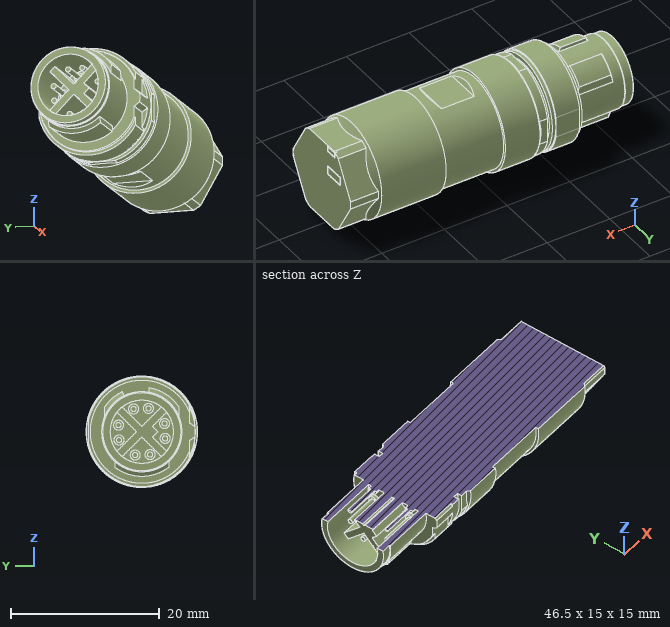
import cadquery as cq
import math


NOSE_STEP_X = 1.4
RING_START_X = 9.28
RING_RAISED_START_X = 9.85
RING_POCKET_END_X = 12.8
RING_RAISED_END_X = 13.65
RING_END_X = 14.2
COLLAR_START_X = 14.9
BODY_START_X = 16.38
SLEEVE_START_X = 21.9
NUT_START_X = 31.36
NUT_CONE_X = 41.65
NUT_END_X = 46.41
TOTAL_LENGTH = 46.48

BODY_R = 7.5
SLEEVE_R = 7.07
NOSE_TIP_R = 5.25
NOSE_R = 5.4
RING_LIP_R = 6.93
RING_CORE_R = 7.2
RING_RAISED_R = 7.38
NECK_R = 6.44
COLLAR_R = 7.32
BODY_CONE_R = 7.0
BORE_R = 4.25

PAD_R = 6.0
PAD_ROOT_R = 5.2
FRONT_PAD_BASE_X = (3.3, 7.95)
FRONT_PAD_TOP_X = (3.6, 7.7)
FRONT_PAD_MIN_Y = -4.97
FRONT_PAD_MAX_Y = -0.95
REAR_PAD_BASE_X = (3.15, 8.85)
REAR_PAD_TOP_X = (3.4, 8.5)
REAR_PAD_MAX_Y = 5.0
REAR_PAD_SIDE_ANGLE = 26.0
BOTTOM_PAD_BASE_X = (2.66, 8.35)
BOTTOM_PAD_TOP_X = (2.98, 8.2)
BOTTOM_PAD_HALF_WIDTH = 3.63

POCKET_FLOOR_Y = 6.4
POCKET_HALF_WIDTH = 3.75
KEY_BASE_HALF_WIDTH = 1.2
KEY_TOP_HALF_WIDTH = 0.65

COLLAR_FLAT_DISTANCE = 7.07
SLEEVE_FLAT_DISTANCE = 6.51
SLEEVE_FLAT_START_X = 23.87
SLEEVE_FLAT_END_X = 29.05

HEX_ACROSS_FLATS = 13.0
HEX_CORNER_R = 7.19

MARK_Y_MIN = 1.5
MARKS = [(3.3, 5.6, 6.4), (4.6, 1.8, 3.1)]

BORE_DEPTH = 9.0
SHIELD_FRONT_X = 2.5
SHIELD_THICKNESS = 1.0
SHIELD_KEY_REACH = 1.53
PIN_FRONT_X = 3.5
PIN_R = 0.35
PIN_COLLAR_R = 0.67
PIN_COLLAR_HEIGHT = 0.5
PIN_RADIAL = 3.1
PIN_HALF_SPACING = 1.0
PIN_PATTERN_TURN = 2.0

OVERLAP = 0.3
CLEARANCE = 2.0


def box_between(x_range, y_range, z_range):
    """Box spanning the given (min, max) ranges."""
    sizes = [high - low for low, high in (x_range, y_range, z_range)]
    corner = (x_range[0], y_range[0], z_range[0])
    return cq.Workplane("XY").box(*sizes, centered=False).translate(corner)


def cylinder(x_start, x_end, radius):
    """Solid cylinder on the X axis."""
    return cq.Workplane("YZ").workplane(offset=x_start).circle(radius).extrude(x_end - x_start)


def revolved(points):
    """Revolve an (x, radius) outline around the X axis."""
    outline = cq.Workplane("XY").polyline(points).close()
    return outline.revolve(360, (0, 0, 0), (1, 0, 0))


def turn(solid, angle):
    """Rotate a solid about the connector axis."""
    return solid.rotate((0, 0, 0), (1, 0, 0), angle)


def mating_plane(x):
    """Plane facing the mating end: local x is -Y, local y is +Z."""
    return cq.Workplane(cq.Plane(origin=(x, 0, 0), xDir=(0, -1, 0), normal=(-1, 0, 0)))


def nose():
    """Mating sleeve with a slightly smaller tip."""
    tip = cylinder(0, NOSE_STEP_X, NOSE_TIP_R)
    return tip.union(cylinder(NOSE_STEP_X, RING_START_X + OVERLAP, NOSE_R))


def locking_pad(base_x, top_x, clip_outline):
    """Raised arc-shaped pad with sloped ends, kept only inside a (Y, Z) outline."""
    rim = revolved([
        (base_x[0], PAD_ROOT_R),
        (base_x[0], NOSE_R),
        (top_x[0], PAD_R),
        (top_x[1], PAD_R),
        (base_x[1], NOSE_R),
        (base_x[1], PAD_ROOT_R),
    ])
    clip = cq.Workplane("YZ").polyline(clip_outline).close().extrude(RING_START_X)
    return rim.intersect(clip)


def locking_pads():
    """Two pads on the upper half of the nose and one wider pad underneath."""
    rear_side_y = BODY_R * math.tan(math.radians(REAR_PAD_SIDE_ANGLE))
    front_clip = [
        (FRONT_PAD_MIN_Y, 0),
        (FRONT_PAD_MAX_Y, 0),
        (FRONT_PAD_MAX_Y, BODY_R),
        (FRONT_PAD_MIN_Y, BODY_R),
    ]
    rear_clip = [
        (0, 0),
        (REAR_PAD_MAX_Y, 0),
        (REAR_PAD_MAX_Y, BODY_R),
        (rear_side_y, BODY_R),
    ]
    bottom_clip = [
        (-BOTTOM_PAD_HALF_WIDTH, 0),
        (BOTTOM_PAD_HALF_WIDTH, 0),
        (BOTTOM_PAD_HALF_WIDTH, -BODY_R),
        (-BOTTOM_PAD_HALF_WIDTH, -BODY_R),
    ]
    front_pad = locking_pad(FRONT_PAD_BASE_X, FRONT_PAD_TOP_X, front_clip)
    rear_pad = locking_pad(REAR_PAD_BASE_X, REAR_PAD_TOP_X, rear_clip)
    bottom_pad = locking_pad(BOTTOM_PAD_BASE_X, BOTTOM_PAD_TOP_X, bottom_clip)
    return front_pad.union(rear_pad).union(bottom_pad)


def ring_pocket(x_end):
    """Cutter for the -Y side of the ring, from its front face to x_end."""
    return box_between(
        (RING_START_X, x_end),
        (-POCKET_FLOOR_Y - CLEARANCE, -POCKET_FLOOR_Y),
        (-POCKET_HALF_WIDTH, POCKET_HALF_WIDTH),
    )


def ring_key():
    """Key with sloped sides, standing on the pocket floor."""
    key_root_y = -POCKET_FLOOR_Y + OVERLAP
    return (
        cq.Workplane("YZ")
        .workplane(offset=RING_START_X)
        .moveTo(key_root_y, -KEY_BASE_HALF_WIDTH)
        .lineTo(-POCKET_FLOOR_Y, -KEY_BASE_HALF_WIDTH)
        .lineTo(-RING_CORE_R, -KEY_TOP_HALF_WIDTH)
        .lineTo(-RING_CORE_R, KEY_TOP_HALF_WIDTH)
        .lineTo(-POCKET_FLOOR_Y, KEY_BASE_HALF_WIDTH)
        .lineTo(key_root_y, KEY_BASE_HALF_WIDTH)
        .close()
        .extrude(RING_POCKET_END_X - RING_START_X)
        .intersect(cylinder(RING_START_X, RING_POCKET_END_X, RING_CORE_R))
    )


def coupling_ring():
    """Stepped ring with a flat-floored pocket and key at -Y, its raised band trimmed flat at +Y."""
    lip = cylinder(RING_START_X, RING_RAISED_START_X, RING_LIP_R)
    core = cylinder(RING_RAISED_START_X, RING_END_X, RING_CORE_R)
    raised = cylinder(RING_RAISED_START_X, RING_RAISED_END_X, RING_RAISED_R)
    flat = box_between(
        (RING_RAISED_START_X, RING_RAISED_END_X),
        (RING_CORE_R, RING_CORE_R + CLEARANCE),
        (-BODY_R, BODY_R),
    )
    raised = raised.cut(flat).cut(ring_pocket(RING_RAISED_END_X))
    ring = lip.union(core).union(raised)
    return ring.cut(ring_pocket(RING_POCKET_END_X)).union(ring_key())


def collar():
    """Short collar with four narrow flats, next to the main body."""
    width = 2 * COLLAR_FLAT_DISTANCE
    blank = cylinder(COLLAR_START_X, BODY_START_X, COLLAR_R)
    square = cq.Workplane("YZ").workplane(offset=COLLAR_START_X).rect(width, width)
    return blank.intersect(square.extrude(BODY_START_X - COLLAR_START_X))


def body():
    """Neck, large-diameter band with a 45 degree lead, and the grip sleeve behind it."""
    cone_start_x = BODY_START_X - (BODY_R - BODY_CONE_R)
    band = revolved([
        (cone_start_x, 0),
        (cone_start_x, BODY_CONE_R),
        (BODY_START_X, BODY_R),
        (SLEEVE_START_X, BODY_R),
        (SLEEVE_START_X, 0),
    ])
    neck = cylinder(RING_END_X - OVERLAP, COLLAR_START_X + OVERLAP, NECK_R)
    return band.union(neck).union(collar()).union(sleeve())


def sleeve():
    """Grip sleeve with a wrench flat on the +Z and -Z sides, sloped at both ends."""
    blank = cylinder(SLEEVE_START_X - OVERLAP, NUT_START_X + OVERLAP, SLEEVE_R)
    cutter = (
        cq.Workplane("XZ")
        .moveTo(SLEEVE_FLAT_START_X, SLEEVE_FLAT_DISTANCE)
        .lineTo(SLEEVE_FLAT_END_X, SLEEVE_FLAT_DISTANCE)
        .lineTo(SLEEVE_FLAT_END_X + CLEARANCE, SLEEVE_FLAT_DISTANCE + CLEARANCE)
        .lineTo(SLEEVE_FLAT_START_X - CLEARANCE, SLEEVE_FLAT_DISTANCE + CLEARANCE)
        .close()
        .extrude(BODY_R, both=True)
    )
    return blank.cut(cutter).cut(turn(cutter, 180))


def clamping_nut():
    """Round nut whose 45 degree cone runs out into a rounded-corner hexagon."""
    cone_run = BODY_R - HEX_ACROSS_FLATS / 2 + OVERLAP
    barrel = revolved([
        (NUT_START_X, 0),
        (NUT_START_X, BODY_R),
        (NUT_CONE_X, BODY_R),
        (NUT_CONE_X + cone_run, BODY_R - cone_run),
        (NUT_CONE_X + cone_run, 0),
    ])
    hexagon = (
        cq.Workplane("YZ")
        .workplane(offset=NUT_CONE_X)
        .polygon(6, HEX_ACROSS_FLATS / math.cos(math.pi / 6))
        .extrude(NUT_END_X - NUT_CONE_X)
        .intersect(cylinder(NUT_CONE_X, NUT_END_X, HEX_CORNER_R))
    )
    nut = barrel.union(hexagon)
    for y_max, z_min, z_max in MARKS:
        nut = nut.union(box_between(
            (NUT_END_X - OVERLAP, TOTAL_LENGTH), (MARK_Y_MIN, y_max), (z_min, z_max)))
    return nut


def shield_cross():
    """X-shaped shield at 45 degrees, with a square coding key in its -Y corner."""
    length = BORE_DEPTH + OVERLAP - SHIELD_FRONT_X
    arm_length = 2 * (BORE_R + OVERLAP)
    base = mating_plane(BORE_DEPTH + OVERLAP)
    cross = base.rect(arm_length, SHIELD_THICKNESS).extrude(length)
    cross = cross.union(base.rect(SHIELD_THICKNESS, arm_length).extrude(length))
    key = base.rect(SHIELD_KEY_REACH, SHIELD_KEY_REACH, centered=False).extrude(length)
    return turn(cross.union(key), 45)


def contact_pins():
    """Four pairs of contact pins, each pin standing on a small collar on the bore floor."""
    pair = [(PIN_RADIAL, -PIN_HALF_SPACING), (PIN_RADIAL, PIN_HALF_SPACING)]
    base = mating_plane(BORE_DEPTH + OVERLAP).pushPoints(pair)
    pins = base.circle(PIN_R).extrude(BORE_DEPTH + OVERLAP - PIN_FRONT_X)
    pins = pins.union(base.circle(PIN_COLLAR_R).extrude(OVERLAP + PIN_COLLAR_HEIGHT))
    pattern = cq.Workplane()
    for quarter_turn in (0, 90, 180, 270):
        pattern = pattern.add(turn(pins, quarter_turn - PIN_PATTERN_TURN))
    return pattern.combine()


shell = nose().union(locking_pads()).union(coupling_ring()).union(body()).union(clamping_nut())
shell = shell.cut(cylinder(0, BORE_DEPTH, BORE_R))
result = shell.union(shield_cross()).union(contact_pins())